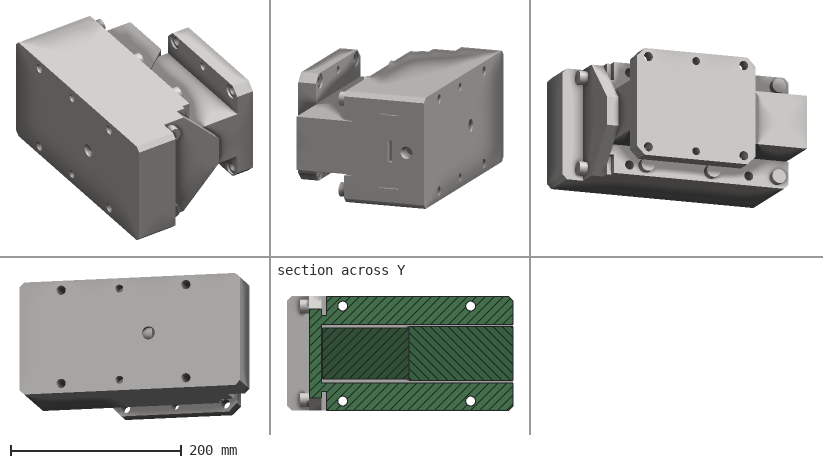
import cadquery as cq
import math


HOUSING_LENGTH = 265.0
HOUSING_WIDTH = 134.0
HOUSING_TOP = 100.0
HOUSING_CORNER_CHAMFER = 5.5
FOOT_TOP = 51.0

CHANNEL_FLOOR = 45.5
CHANNEL_HALF_WIDTH = 45.0
LIP_UNDERSIDE = 90.0
LIP_HALF_GAP = 34.0
LIP_NOTCH_LEFT = 219.5
FLOOR_SLOT_WIDTH = 26.0
FLOOR_SLOT_DEPTH = 5.5
SIDE_SLOT_WIDTH = 1.8
SIDE_SLOT_BOTTOM = 32.0
SIDE_RELIEF_TOP = 56.0

END_PLATE_LEFT = 224.7
END_PLATE_RIGHT = 239.5
END_PLATE_SHOULDER = 78.6
END_PLATE_TOP = 128.4

HEAD_DIAMETER = 16.8
HEAD_HEIGHT = 10.0
HEAD_Z = 54.8
LIP_HEAD_FIRST_X = 15.5
LIP_HEAD_PITCH = 82.4
LIP_HEAD_COUNT = 3
END_HEAD_Y = 59.5

MOUNT_HOLE_DIAMETER = 11.0
MOUNT_HOLE_X = (50.0, 200.0)
MOUNT_HOLE_Z = 55.7
DOWEL_DIAMETER = 9.5
DOWEL_DEPTH = 20.0
DOWEL_X = 120.0
DOWEL_Z = 54.5
INLET_DIAMETER = 15.5
INLET_X = 155.0
INLET_DEPTH = 22.0
DRILL_POINT_ANGLE = 118.0
CROSS_BAR_DIAMETER = 24.0
CROSS_BAR_Y = 17.0
CROSS_BAR_END = 158.0
SIDE_HOLE_DIAMETER = 14.8
SIDE_HOLE_Y = 22.0
SIDE_HOLE_DEPTH = 20.0

WEDGE_TOP = 160.0
WEDGE_HALF_WIDTH = 32.0
WEDGE_TOP_LENGTH = 66.3
WEDGE_CORNER_RADIUS = 4.0
WEDGE_ANGLE = 50.0
SIDE_RELIEF = 1.0

JAW_LEFT = 75.0
JAW_RIGHT = 224.0
JAW_TOP = 185.91
JAW_PLATE_THICKNESS = 22.0
JAW_PLATE_WIDTH = 129.0
JAW_PLATE_CHAMFER = 10.0
JAW_NECK_HALF_WIDTH = 30.0
JAW_TIP_RELIEF_LENGTH = 7.0
JAW_TIP_RELIEF_HEIGHT = 1.2
JAW_HOLE_PITCH = 120.0
JAW_HOLE_Z = 54.5
JAW_BOLT_DIAMETER = 11.0
JAW_COUNTERBORE_DIAMETER = 18.0
JAW_COUNTERBORE_DEPTH = 2.5
JAW_DOWEL_DIAMETER = 9.5


def box(x_range, y_range, z_range):
    """Box between two limits along each axis."""
    sizes = [high - low for low, high in (x_range, y_range, z_range)]
    corner = (x_range[0], y_range[0], z_range[0])
    return cq.Workplane("XY").box(*sizes, centered=False).translate(corner)


def cylinder_along_y(diameter, x, z, y_start, y_end):
    """Round bar or drill parallel to Y."""
    start = cq.Vector(x, y_start, z)
    bar = cq.Solid.makeCylinder(diameter / 2, y_end - y_start, start, cq.Vector(0, 1, 0))
    return cq.Workplane(bar)


def cylinder_along_x(diameter, y, z, x_start, x_end):
    """Round bar or drill parallel to X."""
    start = cq.Vector(x_start, y, z)
    bar = cq.Solid.makeCylinder(diameter / 2, x_end - x_start, start, cq.Vector(1, 0, 0))
    return cq.Workplane(bar)


def tee_bar(half_width, top, x_end):
    """Bar with the flange that slides in the channel and a narrower web up to `top`."""
    flange = box(
        (0, x_end),
        (CHANNEL_FLOOR, LIP_UNDERSIDE),
        (-CHANNEL_HALF_WIDTH, CHANNEL_HALF_WIDTH),
    )
    web = box((0, x_end), (CHANNEL_FLOOR, top), (-half_width, half_width))
    return flange.union(web)


def wedge_side():
    """Space to the left of the sloping plane where the wedge and the jaw slide."""
    slope_run = (WEDGE_TOP - CHANNEL_FLOOR) / math.tan(math.radians(WEDGE_ANGLE))
    return (
        cq.Workplane("XY")
        .polyline([
            (0, CHANNEL_FLOOR),
            (WEDGE_TOP_LENGTH + slope_run, CHANNEL_FLOOR),
            (WEDGE_TOP_LENGTH, WEDGE_TOP),
            (0, WEDGE_TOP),
        ])
        .close()
        .extrude(CHANNEL_HALF_WIDTH, both=True)
    )


def slope_height(x):
    """Height of the sloping plane at a given x."""
    return WEDGE_TOP - (x - WEDGE_TOP_LENGTH) * math.tan(math.radians(WEDGE_ANGLE))


def jaw_tip_relief():
    """Thin sliver taken off the tip of the jaw's sloping face."""
    relief_right = JAW_LEFT + JAW_TIP_RELIEF_LENGTH
    return (
        cq.Workplane("XY")
        .polyline([
            (JAW_LEFT, slope_height(JAW_LEFT)),
            (relief_right, slope_height(relief_right)),
            (JAW_LEFT, slope_height(JAW_LEFT) + JAW_TIP_RELIEF_HEIGHT),
        ])
        .close()
        .extrude(JAW_NECK_HALF_WIDTH, both=True)
    )


def housing_block():
    """Stepped block with chamfered corners and the end plate rising above it."""
    half = HOUSING_WIDTH / 2
    profile = (
        cq.Workplane("XY")
        .polyline([
            (0, 0),
            (HOUSING_LENGTH, 0),
            (HOUSING_LENGTH, FOOT_TOP),
            (END_PLATE_RIGHT, FOOT_TOP),
            (END_PLATE_RIGHT, END_PLATE_SHOULDER),
            (END_PLATE_LEFT, END_PLATE_SHOULDER),
            (END_PLATE_LEFT, HOUSING_TOP),
            (0, HOUSING_TOP),
        ])
        .close()
        .extrude(half, both=True)
    )
    block = profile.edges("|Y and (<X or >X)").chamfer(HOUSING_CORNER_CHAMFER)
    top_half_width = half - (END_PLATE_TOP - END_PLATE_SHOULDER)
    end_plate = (
        cq.Workplane("YZ", origin=(END_PLATE_LEFT, 0, 0))
        .polyline([
            (FOOT_TOP, -half),
            (END_PLATE_SHOULDER, -half),
            (END_PLATE_TOP, -top_half_width),
            (END_PLATE_TOP, top_half_width),
            (END_PLATE_SHOULDER, half),
            (FOOT_TOP, half),
        ])
        .close()
        .extrude(END_PLATE_RIGHT - END_PLATE_LEFT)
    )
    return block.union(end_plate)


def channel_cutter():
    """T channel with its floor slot, side slots and the notched ends of the lips."""
    half = HOUSING_WIDTH / 2
    cutter = tee_bar(LIP_HALF_GAP, HOUSING_TOP, END_PLATE_LEFT)
    floor_slot = box(
        (0, END_PLATE_LEFT),
        (CHANNEL_FLOOR - FLOOR_SLOT_DEPTH, CHANNEL_FLOOR),
        (-FLOOR_SLOT_WIDTH / 2, FLOOR_SLOT_WIDTH / 2),
    )
    lip_notch = box(
        (LIP_NOTCH_LEFT, END_PLATE_LEFT),
        (LIP_UNDERSIDE, HOUSING_TOP),
        (CHANNEL_HALF_WIDTH, half),
    )
    side_slot = box(
        (0, END_PLATE_LEFT),
        (SIDE_SLOT_BOTTOM, CHANNEL_FLOOR),
        (CHANNEL_HALF_WIDTH - SIDE_SLOT_WIDTH, CHANNEL_HALF_WIDTH),
    )
    cutter = cutter.union(floor_slot)
    for side_cut in (lip_notch, side_slot):
        cutter = cutter.union(side_cut).union(side_cut.mirror("XY"))
    return cutter


def inlet_cutter():
    """Drilled blind inlet in the mounting face, less the round bar that crosses its left part."""
    radius = INLET_DIAMETER / 2
    point_length = radius / math.tan(math.radians(DRILL_POINT_ANGLE / 2))
    point_start = cq.Vector(INLET_X, INLET_DEPTH, 0)
    point = cq.Solid.makeCone(radius, 0, point_length, point_start, cq.Vector(0, 1, 0))
    drill = cylinder_along_y(INLET_DIAMETER, INLET_X, 0, 0, INLET_DEPTH).union(cq.Workplane(point))
    bar = cylinder_along_x(CROSS_BAR_DIAMETER, CROSS_BAR_Y, 0, INLET_X - INLET_DIAMETER, CROSS_BAR_END)
    return drill.cut(bar)


def make_housing():
    """Housing with its screw heads, guide channel and holes."""
    housing = housing_block().cut(channel_cutter()).cut(inlet_cutter())
    housing = housing.cut(cylinder_along_x(SIDE_HOLE_DIAMETER, SIDE_HOLE_Y, 0, 0, SIDE_HOLE_DEPTH))
    for side in (-1, 1):
        for x in MOUNT_HOLE_X:
            hole_z = side * MOUNT_HOLE_Z
            housing = housing.cut(cylinder_along_y(MOUNT_HOLE_DIAMETER, x, hole_z, 0, HOUSING_TOP))
        housing = housing.cut(cylinder_along_y(DOWEL_DIAMETER, DOWEL_X, side * DOWEL_Z, 0, DOWEL_DEPTH))

        head_z = side * HEAD_Z
        for i in range(LIP_HEAD_COUNT):
            x = LIP_HEAD_FIRST_X + i * LIP_HEAD_PITCH
            head = cylinder_along_y(HEAD_DIAMETER, x, head_z, HOUSING_TOP, HOUSING_TOP + HEAD_HEIGHT)
            housing = housing.union(head)
        end_head = cylinder_along_x(
            HEAD_DIAMETER, END_HEAD_Y, head_z, END_PLATE_RIGHT, END_PLATE_RIGHT + HEAD_HEIGHT
        )
        housing = housing.union(end_head)
    return housing


def make_wedge():
    """Sliding wedge: T-shaped bar cut off by the sloping plane, eased low on both sides."""
    wedge = tee_bar(WEDGE_HALF_WIDTH, WEDGE_TOP, JAW_RIGHT).intersect(wedge_side())
    wedge = wedge.faces(">Y").edges(">X").fillet(WEDGE_CORNER_RADIUS)
    relief = box(
        (0, JAW_RIGHT),
        (CHANNEL_FLOOR, SIDE_RELIEF_TOP),
        (CHANNEL_HALF_WIDTH - SIDE_RELIEF, CHANNEL_HALF_WIDTH),
    )
    return wedge.cut(relief).cut(relief.mirror("XY"))


def make_jaw():
    """Clamping jaw: T-shaped body resting on the wedge, carrying a drilled top plate."""
    plate_bottom = JAW_TOP - JAW_PLATE_THICKNESS
    plate_half = JAW_PLATE_WIDTH / 2
    body = tee_bar(JAW_NECK_HALF_WIDTH, plate_bottom, JAW_RIGHT)
    body = body.cut(box((0, JAW_LEFT), (CHANNEL_FLOOR, plate_bottom), (-plate_half, plate_half)))
    body = body.cut(wedge_side()).cut(jaw_tip_relief())
    plate = box((JAW_LEFT, JAW_RIGHT), (plate_bottom, JAW_TOP), (-plate_half, plate_half))
    jaw = body.union(plate.edges("|Y").chamfer(JAW_PLATE_CHAMFER))

    middle_x = (JAW_LEFT + JAW_RIGHT) / 2
    counterbore_end = plate_bottom + JAW_COUNTERBORE_DEPTH
    for z in (-JAW_HOLE_Z, JAW_HOLE_Z):
        jaw = jaw.cut(cylinder_along_y(JAW_DOWEL_DIAMETER, middle_x, z, plate_bottom, JAW_TOP))
        for x in (middle_x - JAW_HOLE_PITCH / 2, middle_x + JAW_HOLE_PITCH / 2):
            jaw = jaw.cut(cylinder_along_y(JAW_BOLT_DIAMETER, x, z, plate_bottom, JAW_TOP))
            counterbore = cylinder_along_y(JAW_COUNTERBORE_DIAMETER, x, z, plate_bottom, counterbore_end)
            jaw = jaw.cut(counterbore)
    return jaw


housing = make_housing()
wedge = make_wedge()
jaw = make_jaw()

bodies = [body.solids().val() for body in (housing, wedge, jaw)]
result = cq.Compound.makeCompound(bodies)